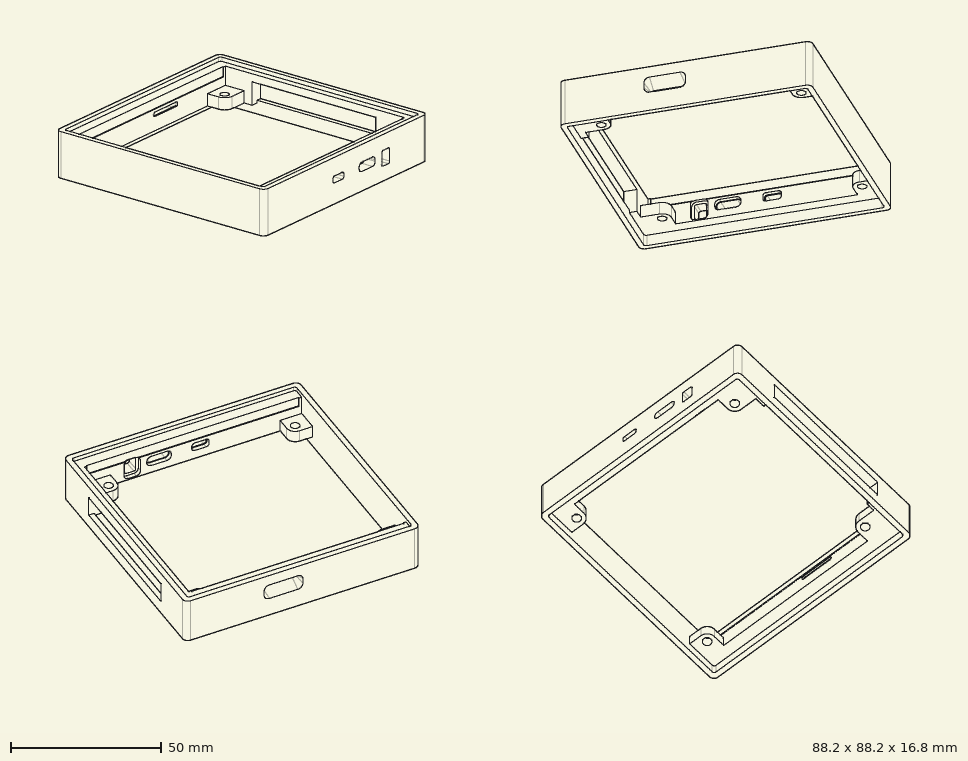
import cadquery as cq

side = 88.2
height = 16.8
outer_radius = 2.0
skin = 2.0
half = side / 2

lid_depth = 1.5
rebate_radius = 0.9
base_depth = 4.0
side_wall = 6.35
rear_wall = 4.7
front_wall = skin
ledge_z = height - lid_depth
inner_x = half - side_wall
inner_rear = half - rear_wall
inner_front = -half + front_wall

relief_depth = 0.35
relief_floor = 11.7
relief_inset = 1.0

tab_top = 8.4
screw_diameter = 3.2
screw_x = 33.0
screw_rear = 32.9
screw_front = -37.1
tab_radius = 3.2

window_length = 52.2
window_x = -0.35
window_top = 12.35
window_sill = 4.9

card_y = 7.15
card_z = 9.9
card_width = 12.9
card_height = 1.6
card_radius = 0.7
flare_width = 14.55
flare_height = 5.7
flare_radius = 1.9
flare_depth = 5.7

ports = [
    (21.5, 8.2, 6.2, 7.6, 1.7, 1.0),
    (11.5, 8.7, 9.2, 3.9, 1.7, 0.3),
    (-4.1, 8.8, 6.5, 3.2, 1.15, 0.35),
]
port_pocket_depth = 1.6


def block(x0, x1, y0, y1, z0, z1):
    """Box between two opposite corners."""
    return cq.Workplane("XY").box(x1 - x0, y1 - y0, z1 - z0, centered=False).translate((x0, y0, z0))


def rounded_slot(x, y, z, width, height_z, radius):
    """Rounded rectangle sketched at x on a plane facing +X."""
    outline = cq.Sketch().rect(width, height_z).vertices().fillet(radius)
    return cq.Workplane("YZ", origin=(x, y, z)).placeSketch(outline)


def frame():
    """Square ring with the lid rebate, main opening, base rebate and wall reliefs cut in."""
    rebate = side - 2 * skin
    body = cq.Workplane("XY").rect(side, side).extrude(height).edges("|Z").fillet(outer_radius)
    lid = cq.Workplane("XY").workplane(offset=ledge_z).rect(rebate, rebate).extrude(lid_depth)
    base = cq.Workplane("XY").rect(rebate, rebate).extrude(base_depth)
    body = body.cut(lid.edges("|Z").fillet(rebate_radius)).cut(base.edges("|Z").fillet(rebate_radius))
    body = body.cut(block(-inner_x, inner_x, inner_front, inner_rear, 0, height))
    relief_x = inner_x + relief_depth
    relief_front = inner_front + relief_inset
    relief_rear = inner_rear - relief_inset
    return body.cut(block(-relief_x, relief_x, relief_front, relief_rear, relief_floor, height))


def screw_tab(x_sign, screw_y, wall_y):
    """Tab from the side wall and the wall at wall_y, rounded around its screw hole."""
    inward = -1 if wall_y > 0 else 1
    wall_x = x_sign * inner_x
    tip_x = x_sign * (screw_x - tab_radius)
    tip_y = screw_y + inward * tab_radius
    x_range = sorted((wall_x, tip_x))
    y_range = sorted((wall_y, tip_y))
    tab = block(*x_range, *y_range, base_depth, tab_top)
    free_x_side = "<X" if x_sign > 0 else ">X"
    free_y_side = "<Y" if inward < 0 else ">Y"
    tab = tab.edges(f"|Z and {free_x_side} and {free_y_side}").fillet(tab_radius)
    hole = cq.Workplane("XY").center(x_sign * screw_x, screw_y).circle(screw_diameter / 2)
    return tab.cut(hole.extrude(height))


def window():
    """Opening through the +Y wall; inside the skin it continues down into the base rebate."""
    x0 = window_x - window_length / 2
    x1 = window_x + window_length / 2
    opening = block(x0, x1, inner_rear, half, window_sill, window_top)
    undercut = block(x0, x1, inner_rear, half - skin, base_depth, window_top)
    return opening.union(undercut)


def card_slot():
    """Slot through the -X wall with a tapered mouth."""
    mouth = cq.Sketch().rect(flare_width, flare_height).vertices().fillet(flare_radius)
    throat = cq.Sketch().rect(card_width, card_height).vertices().fillet(card_radius)
    flare = (
        cq.Workplane("YZ", origin=(-half, card_y, card_z))
        .placeSketch(mouth, throat.moved(cq.Location(cq.Vector(0, 0, flare_depth))))
        .loft()
    )
    slot = rounded_slot(-half, card_y, card_z, card_width, card_height, card_radius).extrude(side_wall)
    return flare.union(slot)


def port(y, z, width, height_z, radius, overhang):
    """Port through the +X wall with its enlarged inside pocket."""
    pocket = rounded_slot(inner_x, y, z, width, height_z, radius).extrude(port_pocket_depth)
    hole_width = width - 2 * overhang
    hole_height = height_z - 2 * overhang
    hole = rounded_slot(inner_x, y, z, hole_width, hole_height, radius - overhang).extrude(side_wall)
    return pocket.union(hole)


result = frame()
for x_sign in (-1, 1):
    result = result.union(screw_tab(x_sign, screw_rear, inner_rear))
    result = result.union(screw_tab(x_sign, screw_front, inner_front))
result = result.cut(window()).cut(card_slot())
for port_sizes in ports:
    result = result.cut(port(*port_sizes))